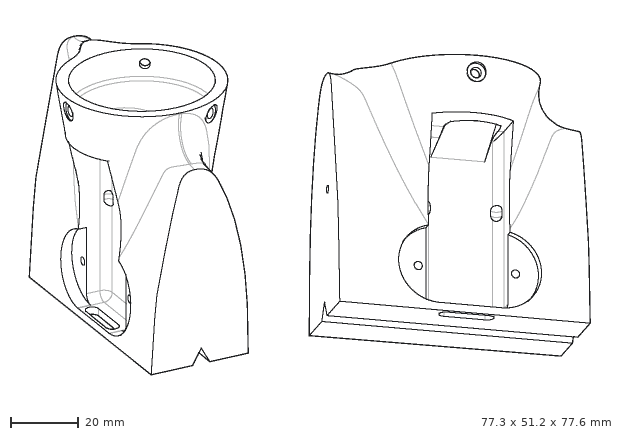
import cadquery as cq
import math

HEIGHT = 77.63
LENGTH = 77.29
LEFT_X = -40.0
RIGHT_X = LEFT_X + LENGTH

CREST_Y = -2.0
LEFT_CREST_Z = 75.8
LEFT_BACK_Y = 17.3
LEFT_FRONT_Y = -16.8
RIGHT_CREST_Z = 64.2
RIGHT_BACK_Y = 16.1
RIGHT_FRONT_Y = -16.5
BACK_FLANK = [(0.85, 0.577), (0.48, 0.898)]
FRONT_FLANK = [(0.39, 0.905), (0.795, 0.488)]
FRONT_LEAN = 0.06

CUP_TOP_RADIUS = 25.58
CUP_BASE_HALF_LENGTH = 8.5
CUP_BASE_HALF_WIDTH = 14.4
CUP_BASE_Y = 0.4
BLEND_RADIUS = 10.5
CUP_EXTENSION = 25.0
EDGE_MARGIN = 1.0
BORE_RADIUS = 21.8
BORE_DEPTH = 10.0
BORE_FILLET = 1.0
BORE_FLOOR_Z = HEIGHT - BORE_DEPTH

SCREW_COUNT = 3
SCREW_FIRST_ANGLE = -90.0
SCREW_Z = HEIGHT - 4.9
SCREW_RADIUS = 1.6
SCREW_HEAD_RADIUS = 2.9
SCREW_SEAT_RADIUS = 24.0

POCKET_X = 0.45
POCKET_WIDTH = 25.2
POCKET_BOTTOM_Z = 2.45
POCKET_TOP_Z = 60.5
POCKET_BACK_Y = -5.0
POCKET_FILLET = 2.7
FRONT_CLEARANCE_Y = -40.0
FLANGE_Y = -12.2
FLANGE_LENGTH = 44.1
FLANGE_HEIGHT = 24.8
FLANGE_Z = POCKET_BOTTOM_Z + FLANGE_HEIGHT / 2
FLANGE_HOLE_SPACING = 30.0
FLANGE_HOLE_RADIUS = 1.25
FLANGE_HOLE_DEPTH = 8.0

TUNNEL_X = 4.95
TUNNEL_Y = -8.0
TUNNEL_RADIUS = 8.45
TUNNEL_MOUTH_FILLET = 1.65
TUNNEL_FOOT_Z = 51.5
TUNNEL_FOOT_LEFT_X = -8.7
TUNNEL_FOOT_RIGHT_X = 7.9
TUNNEL_FOOT_FRONT_Y = -14.0

SLOT_LENGTH = 16.9
SLOT_WIDTH = 4.2
SLOT_Y = -13.3

NOTCH_Y = -5.6
NOTCH_Z = 35.6
NOTCH_HEIGHT = 5.0
NOTCH_RADIUS = 1.7
END_HOLE_Y = -3.1
END_HOLE_Z = 39.4
END_HOLE_RADIUS = 1.1
END_HOLE_DEPTH = 10.0

GROOVE_Y = 0.3
GROOVE_WIDTH = 5.8
GROOVE_DEPTH = 5.1


def end_profile(x, crest_z, back_y, front_y):
    """Closed arch profile in the plane at the given X."""

    def flank_points(flank, base_y):
        base_reach = base_y - CREST_Y
        return [cq.Vector(x, CREST_Y + reach * base_reach, height * crest_z) for reach, height in flank]

    crest = cq.Vector(x, CREST_Y, crest_z)
    back_base = cq.Vector(x, back_y, 0)
    front_base = cq.Vector(x, front_y, 0)
    forward = cq.Vector(0, -1, 0)
    back_side = cq.Edge.makeSpline(
        [back_base, *flank_points(BACK_FLANK, back_y), crest],
        tangents=[cq.Vector(0, 0, 1), forward],
    )
    front_side = cq.Edge.makeSpline(
        [crest, *flank_points(FRONT_FLANK, front_y), front_base],
        tangents=[forward, cq.Vector(0, -FRONT_LEAN, -1)],
    )
    base = cq.Edge.makeLine(front_base, back_base)
    return cq.Wire.assembleEdges([back_side, front_side, base])


def saddle():
    left = end_profile(LEFT_X, LEFT_CREST_Z, LEFT_BACK_Y, LEFT_FRONT_Y)
    right = end_profile(RIGHT_X, RIGHT_CREST_Z, RIGHT_BACK_Y, RIGHT_FRONT_Y)
    return cq.Workplane(cq.Solid.makeLoft([left, right], True))


def tapering_cup():
    """Straight-sided loft that is round at the rim and carries on above it."""
    growth = 1 + CUP_EXTENSION / HEIGHT
    top_half_length = CUP_BASE_HALF_LENGTH + growth * (CUP_TOP_RADIUS - CUP_BASE_HALF_LENGTH)
    top_half_width = CUP_BASE_HALF_WIDTH + growth * (CUP_TOP_RADIUS - CUP_BASE_HALF_WIDTH)
    top_y = CUP_BASE_Y * (1 - growth)
    return (
        cq.Workplane(origin=(0, CUP_BASE_Y, 0))
        .ellipse(CUP_BASE_HALF_LENGTH, CUP_BASE_HALF_WIDTH)
        .workplane(offset=HEIGHT + CUP_EXTENSION)
        .center(0, top_y - CUP_BASE_Y)
        .ellipse(top_half_length, top_half_width)
        .loft(ruled=True)
    )


def is_seam(edge):
    """True for the curved edges where the cup meets the saddle."""
    box = edge.BoundingBox()
    between_ends = box.xmin > LEFT_X + EDGE_MARGIN and box.xmax < RIGHT_X - EDGE_MARGIN
    between_levels = EDGE_MARGIN < box.zmax < HEIGHT + CUP_EXTENSION - EDGE_MARGIN
    return between_ends and between_levels and edge.geomType() != "LINE"


def blended_body():
    """Saddle and cup joined by a fillet, with the cup trimmed at the rim."""
    joined = saddle().union(tapering_cup())
    seam_edges = [edge for edge in joined.edges().vals() if is_seam(edge)]
    blended = joined.newObject(seam_edges).fillet(BLEND_RADIUS)
    trim = cq.Workplane().box(2 * LENGTH, 2 * LENGTH, 2 * CUP_EXTENSION, centered=(True, True, False))
    return blended.cut(trim.translate((0, 0, HEIGHT)))


def bore():
    cutter = cq.Workplane().circle(BORE_RADIUS).extrude(BORE_DEPTH)
    return cutter.faces("<Z").edges().fillet(BORE_FILLET).translate((0, 0, BORE_FLOOR_Z))


def screw_holes():
    """Counterbored holes pointing outward from the cup axis."""
    reach = 2 * CUP_TOP_RADIUS
    hole = cq.Workplane("YZ").circle(SCREW_RADIUS).extrude(reach)
    seat = cq.Workplane("YZ", origin=(SCREW_SEAT_RADIUS, 0, 0)).circle(SCREW_HEAD_RADIUS)
    cutter = hole.union(seat.extrude(reach)).translate((0, 0, SCREW_Z))
    holes = cq.Workplane()
    for index in range(SCREW_COUNT):
        angle = SCREW_FIRST_ANGLE + index * 360 / SCREW_COUNT
        holes = holes.add(cutter.rotate((0, 0, 0), (0, 0, 1), angle))
    return holes.combine()


def pocket():
    depth = POCKET_BACK_Y - FRONT_CLEARANCE_Y
    height = POCKET_TOP_Z - POCKET_BOTTOM_Z
    cutter = cq.Workplane().box(POCKET_WIDTH, depth, height, centered=(True, False, False))
    cutter = cutter.faces(">Y or <Z").edges("|Y or >Y").fillet(POCKET_FILLET)
    return cutter.translate((POCKET_X, FRONT_CLEARANCE_Y, POCKET_BOTTOM_Z))


def flange_recess():
    front = cq.Workplane("XZ", origin=(POCKET_X, FLANGE_Y, FLANGE_Z))
    recess = front.slot2D(FLANGE_LENGTH, FLANGE_HEIGHT).extrude(FLANGE_Y - FRONT_CLEARANCE_Y)
    half_spacing = FLANGE_HOLE_SPACING / 2
    holes = front.pushPoints([(-half_spacing, 0), (half_spacing, 0)]).circle(FLANGE_HOLE_RADIUS)
    return recess.union(holes.extrude(-FLANGE_HOLE_DEPTH))


def cable_tunnel():
    """Passage from a round mouth in the cup floor down to a rectangular foot in the pocket."""
    foot_width = TUNNEL_FOOT_RIGHT_X - TUNNEL_FOOT_LEFT_X
    foot_depth = POCKET_BACK_Y - TUNNEL_FOOT_FRONT_Y
    foot_x = TUNNEL_FOOT_LEFT_X + foot_width / 2
    foot_y = TUNNEL_FOOT_FRONT_Y + foot_depth / 2
    neck_z = BORE_FLOOR_Z - TUNNEL_MOUTH_FILLET
    passage = (
        cq.Workplane(origin=(foot_x, foot_y, TUNNEL_FOOT_Z))
        .rect(foot_width, foot_depth)
        .workplane(offset=neck_z - TUNNEL_FOOT_Z)
        .center(TUNNEL_X - foot_x, TUNNEL_Y - foot_y)
        .circle(TUNNEL_RADIUS)
        .loft(ruled=True)
    )
    mouth_radius = TUNNEL_RADIUS + TUNNEL_MOUTH_FILLET
    curve_inset = TUNNEL_MOUTH_FILLET * (1 - math.sqrt(0.5))
    mouth = (
        cq.Workplane("XZ")
        .lineTo(TUNNEL_RADIUS, 0)
        .threePointArc(
            (TUNNEL_RADIUS + curve_inset, TUNNEL_MOUTH_FILLET - curve_inset),
            (mouth_radius, TUNNEL_MOUTH_FILLET),
        )
        .lineTo(0, TUNNEL_MOUTH_FILLET)
        .close()
        .revolve()
    )
    return passage.union(mouth.translate((TUNNEL_X, TUNNEL_Y, neck_z)))


def floor_slot():
    return cq.Workplane(origin=(0, SLOT_Y, 0)).slot2D(SLOT_LENGTH, SLOT_WIDTH).extrude(2 * POCKET_BOTTOM_Z)


def corner_notches():
    """Upright capsules touching both side walls of the pocket."""
    straight = NOTCH_HEIGHT - 2 * NOTCH_RADIUS
    capsule = cq.Workplane().cylinder(straight, NOTCH_RADIUS)
    for end in (-1, 1):
        cap = cq.Workplane().sphere(NOTCH_RADIUS)
        capsule = capsule.union(cap.translate((0, 0, end * straight / 2)))
    offset = POCKET_WIDTH / 2 - NOTCH_RADIUS
    left = capsule.translate((POCKET_X - offset, NOTCH_Y, NOTCH_Z))
    right = capsule.translate((POCKET_X + offset, NOTCH_Y, NOTCH_Z))
    return left.union(right)


def end_hole():
    left_end = cq.Workplane("YZ", origin=(LEFT_X, END_HOLE_Y, END_HOLE_Z))
    return left_end.circle(END_HOLE_RADIUS).extrude(END_HOLE_DEPTH)


def base_groove():
    half_width = GROOVE_WIDTH / 2
    outline = [(GROOVE_Y - half_width, 0), (GROOVE_Y, GROOVE_DEPTH), (GROOVE_Y + half_width, 0)]
    return cq.Workplane("YZ", origin=(LEFT_X, 0, 0)).polyline(outline).close().extrude(LENGTH)


result = blended_body()
for cutter in (
    bore(),
    screw_holes(),
    pocket(),
    flange_recess(),
    cable_tunnel(),
    floor_slot(),
    corner_notches(),
    end_hole(),
    base_groove(),
):
    result = result.cut(cutter)